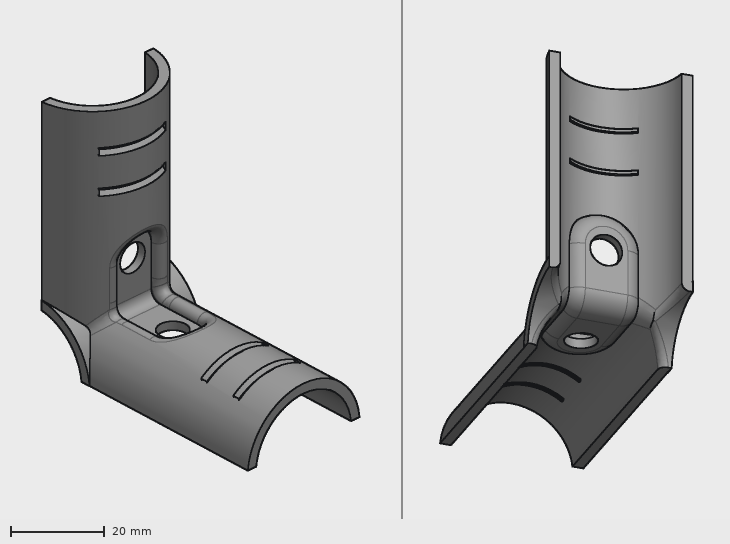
import cadquery as cq
import math


arm_length = 64.0
outer_radius = 16.5
wall = 2.5
axis_offset = -1.5

arm_inner_fillet = 5.0
arm_outer_fillet = arm_inner_fillet - wall
stub_inner_fillet = 1.75

hole_diameter = 7.3
hole_position = 23.4

pocket_half_width = 5.45
pocket_end_center = 25.1
pocket_backing = 2.25
pocket_rim_fillet = 2.0

boss_half_width = 8.87
boss_end_center = 24.2
boss_face = 8.65
boss_edge_fillet = 4.0

mark_positions = (44.0, 54.0)
groove_depth = 1.0
groove_y_min = -10.3
groove_y_max = 7.5
rib_crest_width = 0.7
rib_height = 0.25
rib_half_length = 7.8

bore_radius = outer_radius - wall
stub_half_length = outer_radius
outer_crest = outer_radius + axis_offset
bore_crest = bore_radius + axis_offset
pocket_floor = boss_face + pocket_backing

fillet_span = 0.96
margin = 5.0


def box(x0, x1, y0, y1, z0, z1):
    return cq.Workplane("XY").box(x1 - x0, y1 - y0, z1 - z0, centered=False).translate((x0, y0, z0))


def swap_arms(shape):
    """Mirror a feature of the X arm onto the Z arm, across the plane X = Z."""
    turned = shape.mirror("YZ")
    return turned.rotate((0, 0, 0), (0, 1, 0), 90)


def arm_rod(radius, length):
    """Solid round bar along the X arm, starting behind the corner."""
    start = axis_offset - radius
    plane = cq.Workplane("YZ", origin=(start, 0, axis_offset))
    return plane.circle(radius).extrude(length - start)


def stub_rod(radius, half_length):
    plane = cq.Workplane("XZ", origin=(axis_offset, half_length, axis_offset))
    return plane.circle(radius).extrude(2 * half_length)


def quadrant(length, half_width):
    return box(0, length, -half_width, half_width, 0, length)


def blended_pair(first, second, clip, seam, fillet):
    """Join two crossing bars inside a clip box and round the seam between them."""
    joined = first.intersect(clip).union(second.intersect(clip))
    edge = joined.edges(cq.selectors.NearestToPointSelector(seam))
    return edge.fillet(fillet)


def outer_body():
    """Arms and stub as a solid, with the seam between the two arms rounded."""
    arm_x = arm_rod(outer_radius, arm_length)
    arm_z = swap_arms(arm_x)
    half_span = fillet_span * outer_radius
    clip = quadrant(arm_length, half_span)
    crotch = blended_pair(arm_x, arm_z, clip, (outer_crest, 0, outer_crest), arm_outer_fillet)
    body = crotch.union(arm_x).union(arm_z).union(stub_rod(outer_radius, stub_half_length))
    return body.intersect(quadrant(arm_length, stub_half_length))


def stub_bore_blend(arm_x, stub):
    """Bores of the X arm and the +Y stub with the edge between them rounded."""
    reach = stub_half_length + margin
    clip = box(0, reach, 0, reach, 0, reach)
    seam_point = bore_radius * math.sqrt(0.5)
    seam = (seam_point + axis_offset, seam_point, seam_point + axis_offset)
    return blended_pair(arm_x, stub, clip, seam, stub_inner_fillet)


def cavity():
    """All three bores, with the edges between them rounded."""
    arm_x = arm_rod(bore_radius, arm_length + margin)
    arm_z = swap_arms(arm_x)
    stub = stub_rod(bore_radius, stub_half_length + margin)
    clip = quadrant(arm_length + margin, fillet_span * bore_radius)
    bores = blended_pair(arm_x, arm_z, clip, (bore_crest, 0, bore_crest), arm_inner_fillet)
    bores = bores.union(arm_x).union(arm_z).union(stub)
    blend = stub_bore_blend(arm_x, stub)
    for side in (blend, blend.mirror("XZ")):
        bores = bores.union(side).union(swap_arms(side))
    return bores


def rounded_arm_block(half_width, end_center, bottom, top):
    """Slab along the X arm from the inner corner, with a semicircular far end."""
    plan = (
        cq.Workplane("XY", origin=(0, 0, bottom))
        .moveTo(bottom, -half_width)
        .lineTo(end_center, -half_width)
        .threePointArc((end_center + half_width, 0), (end_center, half_width))
        .lineTo(bottom, half_width)
        .close()
    )
    return plan.extrude(top - bottom)


def angled_block(half_width, end_center, face, top, corner_fillet):
    """Matching slabs on both arms, joined at a rounded inner corner."""
    arm_block = rounded_arm_block(half_width, end_center, face, top)
    block = arm_block.union(swap_arms(arm_block))
    corner = block.edges(cq.selectors.NearestToPointSelector((face, 0, face)))
    return corner.fillet(corner_fillet)


def boss():
    """Pads inside both arms, rounded along the edge of their inner faces."""
    block = angled_block(boss_half_width, boss_end_center, boss_face, outer_crest, arm_inner_fillet)
    face = block.faces(cq.selectors.NearestToPointSelector((boss_end_center, 0, boss_face)))
    return face.edges("not(<X)").fillet(boss_edge_fillet)


def pocketed_body():
    """Outer solid with the sunken pockets cut in and their rims rounded."""
    corner_fillet = arm_inner_fillet - pocket_backing
    top = outer_crest + margin
    pocket = angled_block(pocket_half_width, pocket_end_center, pocket_floor, top, corner_fillet)
    body = outer_body().cut(pocket)
    reach = pocket_end_center + pocket_half_width + margin
    side = pocket_half_width + margin
    low = (bore_crest, -side, bore_crest)
    high = (reach, side, reach)
    rim = body.edges(cq.selectors.BoxSelector(low, high, boundingbox=True))
    return rim.fillet(pocket_rim_fillet)


def arm_ring(section):
    """Revolve a closed (along, radius) section about the X arm axis."""
    axis_plane = cq.Workplane("XZ", origin=(0, 0, axis_offset))
    return axis_plane.polyline(section).close().revolve(360, (0, 0, 0), (1, 0, 0))


def across_arm(shape, y_min, y_max):
    """Keep the outer half of a ring between two Y positions."""
    return shape.intersect(box(0, arm_length, y_min, y_max, 0, outer_radius + margin))


def groove(position):
    """V groove across the outside of the X arm, with 45 degree flanks."""
    apex = outer_radius - groove_depth
    lip = outer_radius + groove_depth
    half_lip = lip - apex
    section = [(position, apex), (position + half_lip, lip), (position - half_lip, lip)]
    return across_arm(arm_ring(section), groove_y_min, groove_y_max)


def rib(position):
    """Low rib with 45 degree flanks on the bore of the X arm, rooted inside the wall."""
    crest = bore_radius - rib_height
    root = bore_radius + rib_height
    half_crest = rib_crest_width / 2
    half_root = half_crest + root - crest
    section = [
        (position - half_crest, crest),
        (position + half_crest, crest),
        (position + half_root, root),
        (position - half_root, root),
    ]
    return across_arm(arm_ring(section), -rib_half_length, rib_half_length)


def screw_hole():
    start = cq.Workplane("XY").center(hole_position, 0)
    return start.circle(hole_diameter / 2).extrude(outer_crest + margin)


solid = pocketed_body()
part = solid.cut(cavity()).union(boss().intersect(solid))

for mark in mark_positions:
    mark_rib = rib(mark)
    mark_groove = groove(mark)
    part = part.union(mark_rib).union(swap_arms(mark_rib))
    part = part.cut(mark_groove).cut(swap_arms(mark_groove))

hole = screw_hole()
result = part.cut(hole).cut(swap_arms(hole))